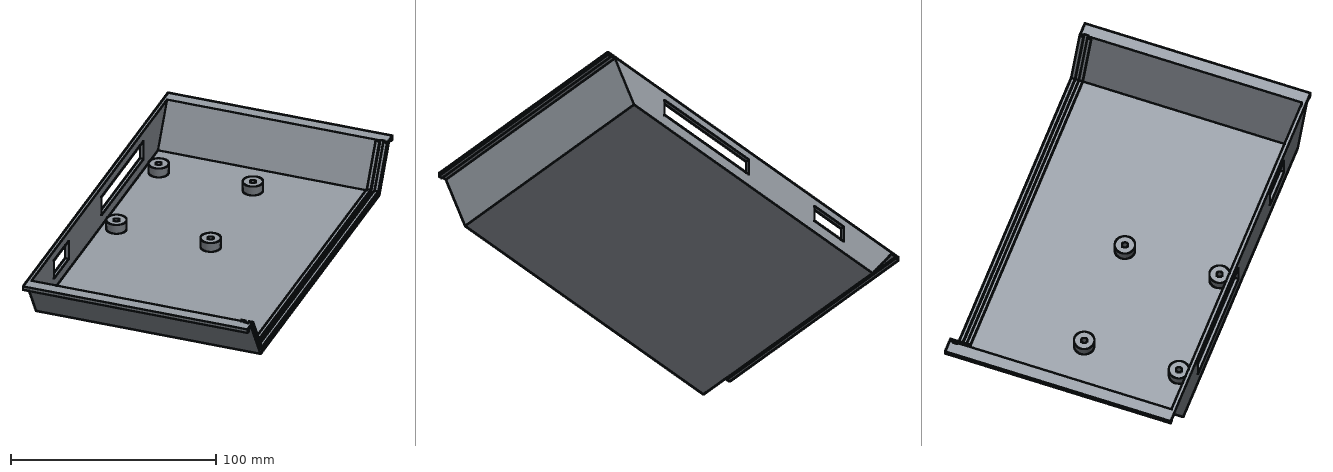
import cadquery as cq
import math

length_x = 116.9
width_y = 199.5
height = 23.7

wall = 2.0
bottom_half_width = 81.8
wall_slope = math.radians(30)
flange_thickness = 1.0
lip_thickness = 2.0
lip_depth = 2.0

slot_width = 2.0
slot_depth = 0.5
rail_width = 2.0
rail_height = 1.0

window_bottom = 8.0
window_height = 10.2
long_window_width = 57.8
long_window_y = 32.0
short_window_width = 20.1
short_window_y = -52.0

standoff_diameter = 10.0
standoff_hole_diameter = 3.0
standoff_height = 5.0
standoff_pitch_x = 49.0
standoff_pitch_y = 58.0
first_standoff_x = 9.8
first_standoff_y = 3.0

outer_rail_x = length_x - rail_width
slot_x = outer_rail_x - slot_width
inner_rail_x = slot_x - rail_width


def trough(inset, start_x, size_x):
    """Trapezoidal prism lying a given distance inside the outer faces of the floor and side walls."""
    half_bottom = bottom_half_width - inset * math.tan(math.pi / 4 - wall_slope / 2)
    half_top = half_bottom + (height - inset) * math.tan(wall_slope)
    return (
        cq.Workplane("YZ", origin=(start_x, 0, 0))
        .polyline([(-half_bottom, inset), (half_bottom, inset), (half_top, height), (-half_top, height)])
        .close()
        .extrude(size_x)
    )


def flange():
    """Thin plate across the top with a lip hanging from each long edge."""
    plate = cq.Workplane().box(length_x, width_y, flange_thickness, centered=(False, True, False))
    shape = plate.translate((0, 0, height - flange_thickness))
    for side in (-1, 1):
        lip = cq.Workplane().box(length_x, lip_thickness, lip_depth, centered=(False, True, False))
        lip_y = side * (width_y - lip_thickness) / 2
        shape = shape.union(lip.translate((0, lip_y, height - lip_depth)))
    return shape


def window(center_y, size_y):
    """Cutter for a rectangular opening through the end wall."""
    cutter = cq.Workplane().box(wall, size_y, window_height, centered=(False, True, False))
    return cutter.translate((0, center_y, window_bottom))


def make_tray():
    shell = trough(0, 0, length_x).union(flange())
    shell = shell.cut(trough(wall, wall, length_x - wall))
    shell = shell.cut(trough(wall - slot_depth, slot_x, slot_width))
    shell = shell.cut(window(long_window_y, long_window_width))
    return shell.cut(window(short_window_y, short_window_width))


def make_rail(start_x):
    """Strip that lines the floor and both side walls."""
    outside = trough(wall, start_x, rail_width)
    return outside.cut(trough(wall + rail_height, start_x, rail_width))


def make_standoff(x, y):
    return (
        cq.Workplane("XY", origin=(x, y, wall))
        .circle(standoff_diameter / 2)
        .circle(standoff_hole_diameter / 2)
        .extrude(standoff_height)
    )


tray = make_tray()
rails = [make_rail(x) for x in (inner_rail_x, outer_rail_x)]
standoffs = [
    make_standoff(first_standoff_x + column * standoff_pitch_x, first_standoff_y + row * standoff_pitch_y)
    for column in range(2)
    for row in range(2)
]

result = cq.Compound.makeCompound(
    [tray.val(), *[rail.val() for rail in rails], *[standoff.val() for standoff in standoffs]]
)